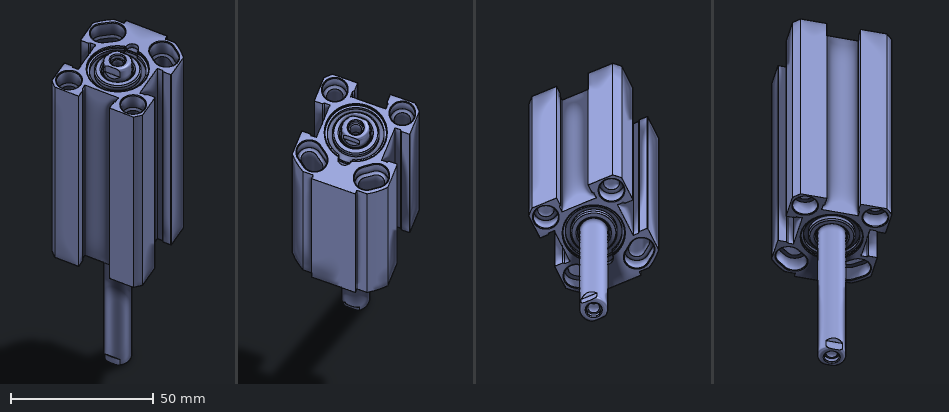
import cadquery as cq
import math

HOUSING_LENGTH = 88.0
HOUSING_HALF_WIDTH = 18.0
CORNER_RADIUS = 23.8

STRIP_HALF_WIDTH = 8.2
STRIP_Y = 22.0
SHOULDER_Y = 20.5

SLOT_FLOOR = 12.25
SLOT_UNDERCUT_END = 14.3
SLOT_LIP_START = 14.8
SLOT_HALF_WIDTH = 6.1
SLOT_UNDERCUT_HALF_WIDTH = 6.6
SIDE_LIP_CHAMFER = 0.2

HOLE_OFFSET = 12.7
HOLE_DIAMETER = 5.8
COUNTERBORE_DIAMETER = 8.8
COUNTERBORE_CHAMFER = 0.3
COUNTERBORE_DEPTH = 6.2
LONG_HOLE_START = (12.6, 12.8)
LONG_HOLE_END = (9.8, 14.9)

BORE_DIAMETER = 20.0
MOUTH_DIAMETER = 21.6
GROOVE_DIAMETER = 22.8
MOUTH_CHAMFER = 0.3
RING_DEPTH = 1.0
RING_THICKNESS = 1.4
RING_INNER_DIAMETER = 20.0
RING_GAP = 5.2

NOTCH_DEPTH = 2.0
NOTCH_RADIUS = 2.3
NOTCH_CENTER_Y = 10.95

COLLAR_LENGTH = 10.0
COLLAR_BOSS_DIAMETER = 16.5
COLLAR_BOSS_CHAMFER = 0.5
COLLAR_BOSS_SETBACK = 0.3
WIPER_DIAMETER = 11.4
WIPER_DEPTH = 1.0
LIP_DIAMETER = 10.48
LIP_DEPTH = 3.0
WIPER_CHAMFER = 0.5

ROD_DIAMETER = 10.0
ROD_UPPER_STUB = 4.5
ROD_LOWER_STUB = 60.5
ROD_END_FILLET = 1.2
FLAT_HALF_WIDTH = 4.0
FLAT_LENGTH = 3.6
THREAD_DIAMETER = 4.13
THREAD_RELIEF_DIAMETER = 5.25
THREAD_RELIEF_DEPTH = 2.0
THREAD_MOUTH_DIAMETER = 6.0
THREAD_DEPTH = 9.0
DRILL_POINT_ANGLE = 118.0

FLARE = 45.0

mouth_depth = RING_DEPTH + RING_THICKNESS + COLLAR_LENGTH
ring_bottom = HOUSING_LENGTH - RING_DEPTH - RING_THICKNESS
mid_height = HOUSING_LENGTH / 2


def disc(diameter, bottom, height, taper=0):
    """Upright cylinder on the rod axis, narrowing upwards by the taper angle."""
    return cq.Workplane("XY").workplane(offset=bottom).circle(diameter / 2).extrude(height, taper=taper)


def copy_at_both_ends(shape):
    """A shape at one end of the housing and its mirror image at the other end."""
    return [shape, shape.mirror("XY", (0, 0, mid_height))]


def housing_blank():
    """Square body with a +Y shoulder and rounded corners, plus the raised strip."""
    body = (
        cq.Workplane("XY")
        .rect(2 * HOUSING_HALF_WIDTH, 2 * HOUSING_HALF_WIDTH)
        .extrude(HOUSING_LENGTH)
    )
    shoulder = (
        cq.Workplane("XY")
        .rect(2 * HOUSING_HALF_WIDTH, SHOULDER_Y, centered=(True, False))
        .extrude(HOUSING_LENGTH)
    )
    body = body.union(shoulder).intersect(disc(2 * CORNER_RADIUS, 0, HOUSING_LENGTH))
    strip = (
        cq.Workplane("XY")
        .rect(2 * STRIP_HALF_WIDTH, STRIP_Y, centered=(True, False))
        .extrude(HOUSING_LENGTH)
    )
    return body.union(strip)


def lengthwise_slot(turn, lip_chamfer):
    """Undercut slot opening towards +Y, turned about the rod axis by the given angle."""
    half_outline = [
        (SLOT_UNDERCUT_HALF_WIDTH, SLOT_FLOOR),
        (SLOT_UNDERCUT_HALF_WIDTH, SLOT_UNDERCUT_END),
        (SLOT_HALF_WIDTH, SLOT_LIP_START),
        (SLOT_HALF_WIDTH, HOUSING_HALF_WIDTH - lip_chamfer),
    ]
    if lip_chamfer > 0:
        half_outline.append((SLOT_HALF_WIDTH + lip_chamfer, HOUSING_HALF_WIDTH))
    other_half = [(-x, y) for x, y in reversed(half_outline)]
    slot = cq.Workplane("XY").polyline(half_outline + other_half).close().extrude(HOUSING_LENGTH)
    return slot.rotate((0, 0, 0), (0, 0, 1), turn)


def long_hole(side, diameter, bottom, height, taper=0):
    start_x, start_y = LONG_HOLE_START
    end_x, end_y = LONG_HOLE_END
    length = math.hypot(end_x - start_x, end_y - start_y) + diameter
    angle = math.degrees(math.atan2(end_y - start_y, side * (end_x - start_x)))
    return (
        cq.Workplane("XY")
        .workplane(offset=bottom)
        .center(side * (start_x + end_x) / 2, (start_y + end_y) / 2)
        .slot2D(length, diameter, angle)
        .extrude(height, taper=taper)
    )


def mounting_holes(side):
    """One round and one long hole on the given X side, counterbored at both ends."""
    round_place = (side * HOLE_OFFSET, -HOLE_OFFSET, 0)
    cutter = disc(HOLE_DIAMETER, 0, HOUSING_LENGTH).translate(round_place)
    cutter = cutter.union(long_hole(side, HOLE_DIAMETER, 0, HOUSING_LENGTH))
    mouth_diameter = COUNTERBORE_DIAMETER + 2 * COUNTERBORE_CHAMFER
    sinks = [
        disc(COUNTERBORE_DIAMETER, 0, COUNTERBORE_DEPTH).translate(round_place),
        disc(mouth_diameter, 0, COUNTERBORE_CHAMFER, FLARE).translate(round_place),
        long_hole(side, COUNTERBORE_DIAMETER, 0, COUNTERBORE_DEPTH),
        long_hole(side, mouth_diameter, 0, COUNTERBORE_CHAMFER, FLARE),
    ]
    for lower_sink in sinks:
        for sink in copy_at_both_ends(lower_sink):
            cutter = cutter.union(sink)
    return cutter


def mouth():
    """Upper mouth of the bore: collar seat, ring groove, edge chamfer and release notch."""
    seat = disc(MOUTH_DIAMETER, HOUSING_LENGTH - mouth_depth, mouth_depth)
    groove = disc(GROOVE_DIAMETER, ring_bottom, RING_THICKNESS)
    edge = disc(MOUTH_DIAMETER, HOUSING_LENGTH - MOUTH_CHAMFER, MOUTH_CHAMFER, -FLARE)
    notch = disc(2 * NOTCH_RADIUS, HOUSING_LENGTH - NOTCH_DEPTH, NOTCH_DEPTH)
    notch = notch.translate((0, NOTCH_CENTER_Y, 0))
    return seat.union(groove).union(edge).union(notch)


def make_housing():
    body = housing_blank()
    for turn in (90, 270):
        body = body.cut(lengthwise_slot(turn, SIDE_LIP_CHAMFER))
    body = body.cut(lengthwise_slot(180, 0))
    for side in (-1, 1):
        body = body.cut(mounting_holes(side))
    body = body.cut(disc(BORE_DIAMETER, 0, HOUSING_LENGTH))
    for end in copy_at_both_ends(mouth()):
        body = body.cut(end)
    return body


def make_retaining_ring():
    """Upper C-shaped ring, open towards the +Y notch."""
    ring = disc(GROOVE_DIAMETER, ring_bottom, RING_THICKNESS)
    ring = ring.cut(disc(RING_INNER_DIAMETER, ring_bottom, RING_THICKNESS))
    gap = (
        cq.Workplane("XY")
        .workplane(offset=ring_bottom)
        .rect(RING_GAP, GROOVE_DIAMETER, centered=(True, False))
        .extrude(RING_THICKNESS)
    )
    return ring.cut(gap)


def make_collar():
    """Upper collar: a flange under the ring, with a boss and a stepped relief around the rod."""
    base = HOUSING_LENGTH - mouth_depth
    boss_top = HOUSING_LENGTH - COLLAR_BOSS_SETBACK
    rod_radius = ROD_DIAMETER / 2
    lip_radius = LIP_DIAMETER / 2
    wiper_radius = WIPER_DIAMETER / 2
    boss_radius = COLLAR_BOSS_DIAMETER / 2
    profile = [
        (rod_radius, base),
        (MOUTH_DIAMETER / 2, base),
        (MOUTH_DIAMETER / 2, base + COLLAR_LENGTH),
        (boss_radius, base + COLLAR_LENGTH),
        (boss_radius, boss_top - COLLAR_BOSS_CHAMFER),
        (boss_radius - COLLAR_BOSS_CHAMFER, boss_top),
        (wiper_radius + WIPER_CHAMFER, boss_top),
        (wiper_radius, boss_top - WIPER_CHAMFER),
        (wiper_radius, boss_top - WIPER_DEPTH),
        (lip_radius, boss_top - WIPER_DEPTH),
        (lip_radius, boss_top - LIP_DEPTH),
        (rod_radius, boss_top - LIP_DEPTH),
    ]
    return cq.Workplane("XZ").polyline(profile).close().revolve(360, (0, 0, 0), (0, 1, 0))


def flat_cutter(rod_top):
    """Material outside the +Y wrench flat at the upper rod end, with its 45 degree runout."""
    flat_bottom = rod_top - FLAT_LENGTH
    outline = [
        (FLAT_HALF_WIDTH, rod_top),
        (FLAT_HALF_WIDTH, flat_bottom),
        (ROD_DIAMETER / 2, flat_bottom - (ROD_DIAMETER / 2 - FLAT_HALF_WIDTH)),
        (ROD_DIAMETER, flat_bottom - (ROD_DIAMETER - FLAT_HALF_WIDTH)),
        (ROD_DIAMETER, rod_top),
    ]
    return cq.Workplane("YZ").polyline(outline).close().extrude(ROD_DIAMETER, both=True)


def threaded_hole(rod_top):
    """Blind hole at the upper rod end, with a wider chamfered relief and a drill point."""
    radius = THREAD_DIAMETER / 2
    relief_radius = THREAD_RELIEF_DIAMETER / 2
    mouth_radius = THREAD_MOUTH_DIAMETER / 2
    bottom = rod_top - THREAD_DEPTH
    point = radius / math.tan(math.radians(DRILL_POINT_ANGLE / 2))
    profile = [
        (0, rod_top),
        (mouth_radius, rod_top),
        (relief_radius, rod_top - (mouth_radius - relief_radius)),
        (relief_radius, rod_top - THREAD_RELIEF_DEPTH),
        (radius, rod_top - THREAD_RELIEF_DEPTH),
        (radius, bottom),
        (0, bottom - point),
    ]
    return cq.Workplane("XZ").polyline(profile).close().revolve(360, (0, 0, 0), (0, 1, 0))


def make_rod():
    rod_top = HOUSING_LENGTH + ROD_UPPER_STUB
    length = ROD_LOWER_STUB + rod_top
    rod_middle = rod_top - length / 2
    rod = disc(ROD_DIAMETER, -ROD_LOWER_STUB, length).faces("<Z or >Z").edges().fillet(ROD_END_FILLET)
    upper_flat = flat_cutter(rod_top)
    for flat in (upper_flat, upper_flat.mirror("XZ")):
        rod = rod.cut(flat)
        rod = rod.cut(flat.mirror("XY", (0, 0, rod_middle)))
    hole = threaded_hole(rod_top)
    return rod.cut(hole).cut(hole.mirror("XY", (0, 0, rod_middle)))


housing = make_housing()
rod = make_rod()
collars = copy_at_both_ends(make_collar())
rings = copy_at_both_ends(make_retaining_ring())

bodies = [housing, rod, *collars, *rings]
result = cq.Compound.makeCompound([body.val() for body in bodies])